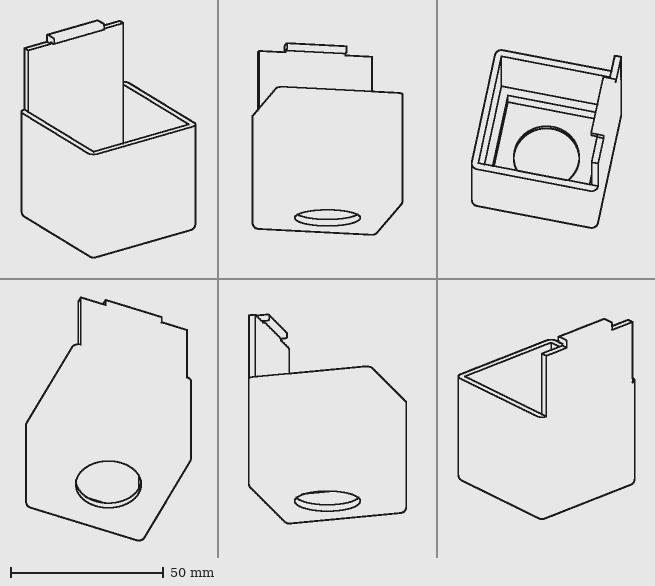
import cadquery as cq

side = 42.4
cup_height = 38.2
wall = 2.2
corner_radius = wall
cavity = side - 2 * wall
ledge_height = 8.8
recess = 32.5
floor = 2.2
hole_diameter = 21.5

total_height = 63.1
plate_top = 60.4
hook_width = 20.0
hook_reach = 4.2
hook_thickness = 2.15
hook_radius = 0.5


def centered_block(width, bottom, top):
    """Square prism on the Z axis between two heights."""
    return cq.Workplane("XY").workplane(offset=bottom).rect(width, width).extrude(top - bottom)


def block_on_left_face(reach, width, bottom, top):
    """Block growing inward from the -X outer face, centered in Y."""
    return (
        cq.Workplane("XY")
        .box(reach, width, top - bottom, centered=(False, True, False))
        .translate((-side / 2, 0, bottom))
    )


def make_cup():
    """Rounded cup with a ledge, a deeper square recess and a hole in the floor."""
    body = centered_block(side, 0, cup_height)
    body = body.edges("|Z").fillet(corner_radius)
    body = body.faces("<Z").edges().fillet(corner_radius)
    body = body.cut(centered_block(cavity, ledge_height, cup_height))
    body = body.cut(centered_block(recess, floor, ledge_height))
    hole = cq.Workplane("XY").circle(hole_diameter / 2).extrude(floor)
    return body.cut(hole)


def make_hook():
    """Latch tab on the plate, with an inward lip rounded along Y."""
    lip = block_on_left_face(hook_reach, hook_width, total_height - hook_thickness, total_height)
    lip = lip.edges("|Y and (>X or >Z)").fillet(hook_radius)
    neck = block_on_left_face(wall, hook_width, plate_top, total_height - hook_thickness)
    return lip.union(neck)


plate = block_on_left_face(wall, cavity, ledge_height, plate_top)
result = make_cup().union(plate).union(make_hook())